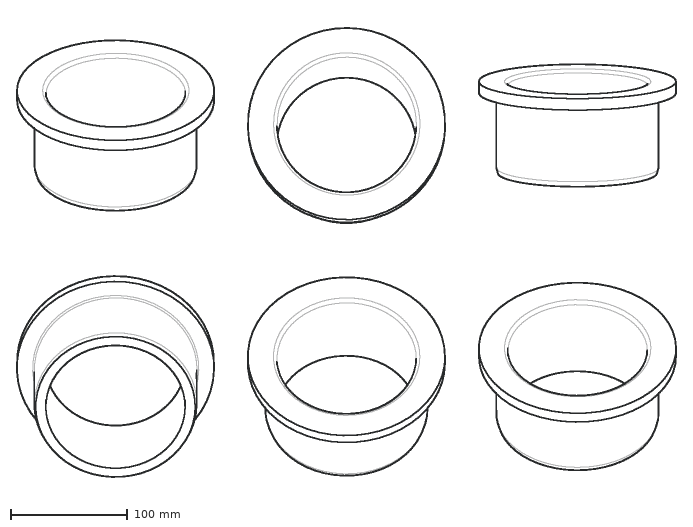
import cadquery as cq
import math

flange_diameter = 170.0
sleeve_diameter = 140.0
bore_diameter = 120.0
total_height = 80.0
flange_thickness = 10.0
bore_mouth_radius = 3.0
lead_in_length = 5.0
lead_in_angle = 15.0
neck_fillet_radius = 1.5

flange_radius = flange_diameter / 2
sleeve_radius = sleeve_diameter / 2
bore_radius = bore_diameter / 2
lead_in_depth = lead_in_length * math.tan(math.radians(lead_in_angle))
flange_bottom = total_height - flange_thickness

half_section = (
    cq.Workplane("XZ")
    .moveTo(bore_radius, 0)
    .lineTo(sleeve_radius - lead_in_depth, 0)
    .lineTo(sleeve_radius, lead_in_length)
    .lineTo(sleeve_radius, flange_bottom - neck_fillet_radius)
    .radiusArc((sleeve_radius + neck_fillet_radius, flange_bottom), neck_fillet_radius)
    .lineTo(flange_radius, flange_bottom)
    .lineTo(flange_radius, total_height)
    .lineTo(bore_radius + bore_mouth_radius, total_height)
    .radiusArc((bore_radius, total_height - bore_mouth_radius), -bore_mouth_radius)
    .close()
)

result = half_section.revolve(360, (0, 0), (0, 1))